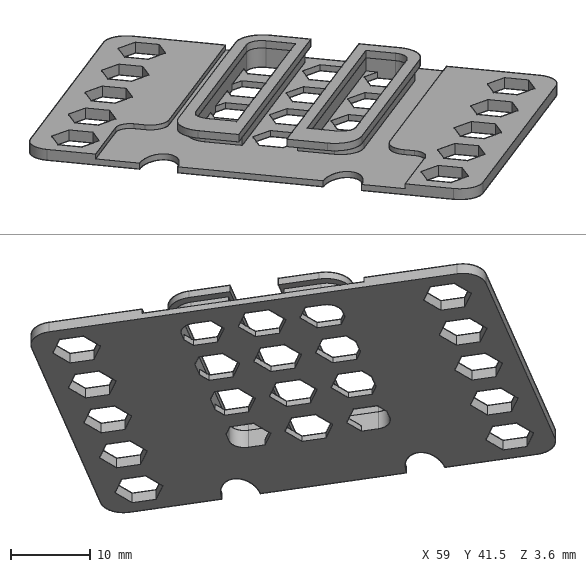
import cadquery as cq

PLATE_LENGTH = 59.0
PLATE_WIDTH = 41.5
WING_THICKNESS = 1.5
WEB_THICKNESS = 0.8
PLATE_CORNER_RADIUS = 3.0

WEB_HALF_WIDTH = 14.4
WEB_WIDE_HALF_WIDTH = 20.2
WEB_STEP_Y = -9.15
WEB_INNER_RADIUS = 2.5
WEB_OUTER_RADIUS = 1.9

HEX_PITCH = 8.0
HEX_ACROSS_CORNERS = 6.2
WING_COLUMNS = (-3, 3)
WING_ROWS = (-2, -1, 0, 1, 2)
WEB_COLUMNS = (-1, 0, 1)
WEB_ROWS = (-1, 0, 1, 2)

NOTCH_X = 12.0
NOTCH_HALF_WIDTH = 2.5
NOTCH_DEPTH = 4.0

TOTAL_HEIGHT = 3.6
FLANGE_THICKNESS = 1.0
FLANGE_BOTTOM = TOTAL_HEIGHT - FLANGE_THICKNESS
FLANGE_INNER_X = 3.1
FLANGE_OUTER_X = 12.0
FLANGE_MIN_Y = -14.75
FLANGE_MAX_Y = 20.2
FLANGE_CORNER_RADIUS = 3.55
OPENING_INNER_X = 4.6
OPENING_OUTER_X = 10.45
OPENING_MIN_Y = -10.3
OPENING_MAX_Y = 18.1
OPENING_CORNER_RADIUS = 2.0
WALL = 1.0


def web_recess():
    """Volume above the thin web, with rounded shoulders where it widens."""
    edge_y = PLATE_WIDTH / 2
    recess_height = WING_THICKNESS - WEB_THICKNESS
    recess = (
        cq.Workplane("XY", origin=(0, 0, WEB_THICKNESS))
        .moveTo(-WEB_HALF_WIDTH, edge_y)
        .lineTo(-WEB_HALF_WIDTH, WEB_STEP_Y)
        .lineTo(-WEB_WIDE_HALF_WIDTH, WEB_STEP_Y)
        .lineTo(-WEB_WIDE_HALF_WIDTH, -edge_y)
        .lineTo(WEB_WIDE_HALF_WIDTH, -edge_y)
        .lineTo(WEB_WIDE_HALF_WIDTH, WEB_STEP_Y)
        .lineTo(WEB_HALF_WIDTH, WEB_STEP_Y)
        .lineTo(WEB_HALF_WIDTH, edge_y)
        .close()
        .extrude(recess_height)
    )
    step_z = WEB_THICKNESS + recess_height / 2
    inner_corners = [(side * WEB_HALF_WIDTH, WEB_STEP_Y, step_z) for side in (-1, 1)]
    outer_corners = [(side * WEB_WIDE_HALF_WIDTH, WEB_STEP_Y, step_z) for side in (-1, 1)]
    for corners, radius in ((inner_corners, WEB_INNER_RADIUS), (outer_corners, WEB_OUTER_RADIUS)):
        for corner in corners:
            recess = recess.edges(cq.NearestToPointSelector(corner)).fillet(radius)
    return recess


def hex_holes():
    """Prisms for all hexagonal through holes."""
    grid = [(column, row) for column in WING_COLUMNS for row in WING_ROWS]
    grid += [(column, row) for column in WEB_COLUMNS for row in WEB_ROWS]
    centres = [(column * HEX_PITCH, row * HEX_PITCH) for column, row in grid]
    return cq.Workplane("XY").pushPoints(centres).polygon(6, HEX_ACROSS_CORNERS).extrude(WING_THICKNESS)


def edge_notches():
    """Elliptical cutters centred on the -Y edge."""
    centres = [(side * NOTCH_X, -PLATE_WIDTH / 2) for side in (-1, 1)]
    return cq.Workplane("XY").pushPoints(centres).ellipse(NOTCH_HALF_WIDTH, NOTCH_DEPTH).extrude(WING_THICKNESS)


def outer_rounded_block(x_range, y_range, z_range, radius):
    """Block on the +X side whose two outer (+X) corners are rounded."""
    x_min, x_max = x_range
    y_min, y_max = y_range
    z_min, z_max = z_range
    return (
        cq.Workplane("XY", origin=(x_min, y_min, z_min))
        .box(x_max - x_min, y_max - y_min, z_max - z_min, centered=False)
        .edges("|Z and >X")
        .fillet(radius)
    )


def opening_block(z_range):
    """Volume of the +X opening over the given height range."""
    return outer_rounded_block(
        (OPENING_INNER_X, OPENING_OUTER_X),
        (OPENING_MIN_Y, OPENING_MAX_Y),
        z_range,
        OPENING_CORNER_RADIUS,
    )


def wall_ring():
    """Wall around the +X opening; it runs down to the plate's underside, closing off hole edges."""
    z_range = (0, FLANGE_BOTTOM)
    outside = outer_rounded_block(
        (OPENING_INNER_X - WALL, OPENING_OUTER_X + WALL),
        (OPENING_MIN_Y - WALL, OPENING_MAX_Y + WALL),
        z_range,
        OPENING_CORNER_RADIUS + WALL,
    )
    return outside.cut(opening_block(z_range))


def make_plate():
    blank = (
        cq.Workplane("XY")
        .box(PLATE_LENGTH, PLATE_WIDTH, WING_THICKNESS, centered=(True, True, False))
        .edges("|Z")
        .fillet(PLATE_CORNER_RADIUS)
    )
    pierced = blank.cut(web_recess()).cut(hex_holes()).cut(edge_notches())
    right_wall = wall_ring()
    left_wall = right_wall.mirror("YZ")
    return pierced.union(right_wall).union(left_wall).clean()


def make_flange(mirrored):
    """Flat ring resting on one wall: the +X one, or its mirror image across the YZ plane."""
    z_range = (FLANGE_BOTTOM, TOTAL_HEIGHT)
    blank = outer_rounded_block(
        (FLANGE_INNER_X, FLANGE_OUTER_X),
        (FLANGE_MIN_Y, FLANGE_MAX_Y),
        z_range,
        FLANGE_CORNER_RADIUS,
    )
    ring = blank.cut(opening_block(z_range))
    return ring.mirror("YZ") if mirrored else ring


plate = make_plate()

flanges = []
for mirrored in (False, True):
    flanges.append(make_flange(mirrored).solids().val())

result = cq.Compound.makeCompound([plate.solids().val(), *flanges])